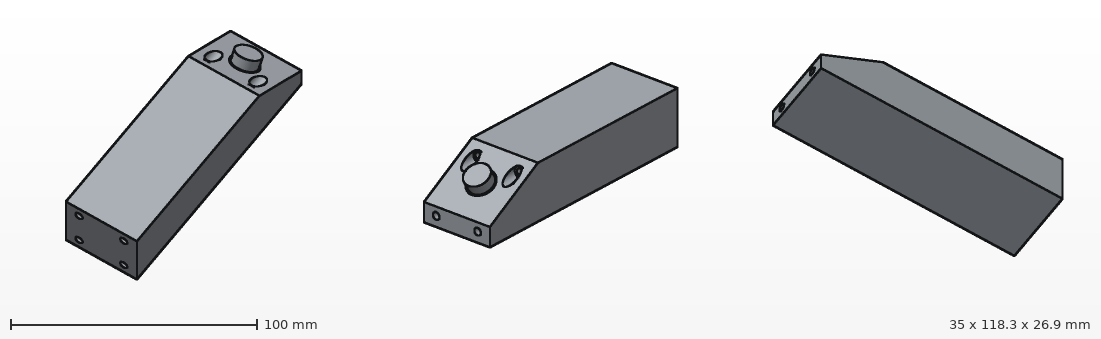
import cadquery as cq
import math

width = 35.0
length = 118.3
height = 26.9
rear_height = 9.3
slope_angle = 30.0
front_y = -length / 2
rear_y = length / 2
slope_run = (height - rear_height) / math.tan(math.radians(slope_angle))

hole_diameter = 3.4
hole_spacing_x = 22.0
hole_spacing_z = 16.8
hole_middle_z = 13.5
upper_hole_z = hole_middle_z + hole_spacing_z / 2
head_diameter = 5.7
head_floor_y = 32.4

button_diameter = 12.1
button_height = 5.1
button_base_y = 44.0
groove_diameter = 13.3
groove_depth = 0.4


def make_body():
    profile = [
        (front_y, 0),
        (rear_y, 0),
        (rear_y, rear_height),
        (rear_y - slope_run, height),
        (front_y, height),
    ]
    return cq.Workplane("YZ").polyline(profile).close().extrude(width / 2, both=True)


def lengthwise_cylinder(x, z, diameter, start_y):
    """Cylinder along Y from start_y to the rear end of the block."""
    return cq.Workplane(
        cq.Solid.makeCylinder(
            diameter / 2, rear_y - start_y, cq.Vector(x, start_y, z), cq.Vector(0, 1, 0)
        )
    )


def cut_screw_holes(body):
    for x in (-hole_spacing_x / 2, hole_spacing_x / 2):
        for z in (upper_hole_z - hole_spacing_z, upper_hole_z):
            body = body.cut(lengthwise_cylinder(x, z, hole_diameter, front_y))
        body = body.cut(lengthwise_cylinder(x, upper_hole_z, head_diameter, head_floor_y))
    return body


def add_button(body):
    angle = math.radians(slope_angle)
    base_z = rear_height + (rear_y - button_base_y) * math.tan(angle)
    slope_plane = cq.Plane(
        origin=(0, button_base_y, base_z),
        xDir=(1, 0, 0),
        normal=(0, math.sin(angle), math.cos(angle)),
    )
    recess = cq.Workplane(slope_plane).circle(groove_diameter / 2).extrude(-groove_depth)
    button = (
        cq.Workplane(slope_plane)
        .workplane(offset=-groove_depth)
        .circle(button_diameter / 2)
        .extrude(groove_depth + button_height)
    )
    return body.cut(recess).union(button)


result = add_button(cut_screw_holes(make_body()))